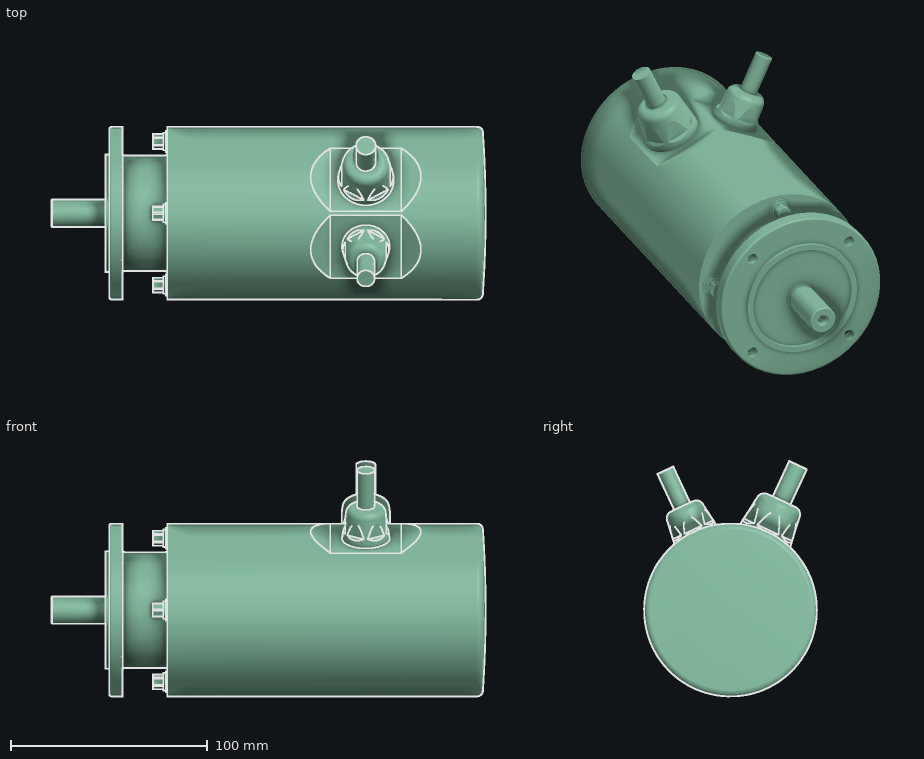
import cadquery as cq
import math


shaft_length = 29.5
pilot_height = 2.0
pilot_recess_depth = 2.0
flange_thickness = 6.8
flange_fillet = 1.2
body_front = 29.5
overall_length = 221.0
body_rear = overall_length - shaft_length
rear_dome_height = 1.6
rear_corner_radius = 3.0

shaft_diameter = 14.0
shaft_shoulder_diameter = 15.0
shaft_chamfer = 0.5
shoulder_height = 1.0
pilot_diameter = 60.0
pilot_recess_diameter = 54.0
neck_diameter = 59.0
neck_fillet = 1.0
body_diameter = 88.0

centre_drill_diameter = 3.43
centre_drill_depth = 12.0
centre_bore_diameter = 4.5
centre_bore_depth = 4.0
centre_mouth_diameter = 6.0

mounting_hole_diameter = 5.5
mounting_hole_circle = 75.0

screw_count = 4
screw_circle = 73.0
washer_diameter = 10.8
washer_thickness = 0.7
screw_collar_diameter = 9.0
screw_collar_top = 2.1
screw_head_top = 7.3
screw_head_diameter = 7.65
screw_head_flats_width = 7.0

gland_x = 130.5
gland_tilt = 25.0
seat_distance = 40.25
seat_length = 36.0
seat_ramp_angle = 20.5

big_gland = {
    "base_diameter": 28.6,
    "top_diameter": 22.9,
    "height": 21.2,
    "top_fillet": 4.2,
    "flats_width": 24.6,
    "flats_start": 4.8,
    "cable_diameter": 10.0,
    "cable_end": 81.3 - seat_distance,
}
small_gland = {
    "base_diameter": 24.3,
    "top_diameter": 19.2,
    "height": 18.0,
    "top_fillet": 4.0,
    "flats_width": 20.8,
    "flats_start": 4.8,
    "cable_diameter": 9.0,
    "cable_end": 78.45 - seat_distance,
}


def cylinder_x(diameter, x_start, x_end):
    """A cylinder on the motor axis between two X positions."""
    return (
        cq.Workplane("YZ")
        .workplane(offset=x_start)
        .circle(diameter / 2)
        .extrude(x_end - x_start)
    )


def hexagon_corner_diameter(flats_width):
    return flats_width / math.cos(math.pi / 6)


def tilt_onto_seat(shape, tilt):
    """Moves a shape from a seat at the origin, facing +Z, to a seat on the motor."""
    lifted = shape.translate((gland_x, 0, seat_distance))
    return lifted.rotate((0, 0, 0), (1, 0, 0), tilt)


def make_shaft():
    shaft = cylinder_x(shaft_diameter, -shaft_length, 0).faces("<X").chamfer(shaft_chamfer)
    shoulder = cylinder_x(shaft_shoulder_diameter, -shoulder_height, 0)
    return shaft.union(shoulder).cut(make_centre_hole())


def make_body():
    radius = body_diameter / 2
    rim_x = body_rear - rear_dome_height
    dome_mid = (rim_x + 0.75 * rear_dome_height, radius / 2)
    outline = (
        cq.Workplane("XY")
        .moveTo(body_front, 0)
        .lineTo(body_front, radius)
        .lineTo(rim_x, radius)
        .threePointArc(dome_mid, (body_rear, 0))
        .close()
    )
    body = outline.revolve(360, (0, 0, 0), (1, 0, 0))
    rim = cq.selectors.BoxSelector(
        (rim_x - 0.1, -body_diameter, -body_diameter), (rim_x + 0.1, body_diameter, body_diameter), True
    )
    return body.edges(rim).fillet(rear_corner_radius)


def make_screw():
    """A screw head on its washer, centred on the motor axis."""
    washer = cylinder_x(washer_diameter, body_front - washer_thickness, body_front)
    collar = cylinder_x(screw_collar_diameter, body_front - screw_collar_top, body_front)
    head = cylinder_x(screw_head_diameter, body_front - screw_head_top, body_front)
    hexagon = (
        cq.Workplane("YZ")
        .workplane(offset=body_front - screw_head_top)
        .polygon(6, hexagon_corner_diameter(screw_head_flats_width))
        .extrude(screw_head_top)
    )
    return washer.union(collar).union(head.intersect(hexagon))


def make_centre_hole():
    mouth_depth = (centre_mouth_diameter - centre_bore_diameter) / 2 / math.tan(math.radians(30))
    tip_depth = centre_drill_diameter / 2 / math.tan(math.radians(60))
    profile = [
        (0, 0),
        (0, centre_mouth_diameter / 2),
        (mouth_depth, centre_bore_diameter / 2),
        (centre_bore_depth, centre_bore_diameter / 2),
        (centre_bore_depth, centre_drill_diameter / 2),
        (centre_drill_depth, centre_drill_diameter / 2),
        (centre_drill_depth + tip_depth, 0),
    ]
    hole = cq.Workplane("XY").polyline(profile).close().revolve(360, (0, 0, 0), (1, 0, 0))
    return hole.translate((-shaft_length, 0, 0))


def make_seat_cutter():
    cut_height = body_diameter / 2
    ramp_run = cut_height / math.tan(math.radians(seat_ramp_angle))
    half_length = seat_length / 2
    profile = [
        (-half_length, 0),
        (half_length, 0),
        (half_length + ramp_run, cut_height),
        (-half_length - ramp_run, cut_height),
    ]
    return cq.Workplane("XZ").polyline(profile).close().extrude(body_diameter / 2, both=True)


def make_motor():
    flange = cylinder_x(body_diameter, 0, flange_thickness).faces("<X").edges().fillet(flange_fillet)
    neck = cylinder_x(neck_diameter, flange_thickness, body_front)
    motor = flange.union(neck).union(make_body())
    margin = 0.1
    neck_reach = neck_diameter / 2 + margin
    neck_region = cq.selectors.BoxSelector(
        (flange_thickness - margin, -neck_reach, -neck_reach),
        (body_front + margin, neck_reach, neck_reach),
        boundingbox=True,
    )
    motor = motor.edges("%CIRCLE").edges(neck_region).fillet(neck_fillet)
    motor = motor.union(cylinder_x(pilot_diameter, -pilot_height, 0))
    motor = motor.cut(
        cylinder_x(pilot_recess_diameter, -pilot_height, pilot_recess_depth - pilot_height)
    )

    mounting_holes = (
        cq.Workplane("YZ")
        .polarArray(mounting_hole_circle / 2, 45, 360, 4)
        .circle(mounting_hole_diameter / 2)
        .extrude(flange_thickness)
    )
    motor = motor.cut(mounting_holes)

    motor = motor.union(make_shaft())

    screw = make_screw().translate((0, screw_circle / 2, 0))
    for index in range(screw_count):
        motor = motor.union(screw.rotate((0, 0, 0), (1, 0, 0), index * 360 / screw_count))

    for tilt in (-gland_tilt, gland_tilt):
        motor = motor.cut(tilt_onto_seat(make_seat_cutter(), tilt))
    return motor


def make_gland(gland, tilt):
    profile = [
        (0, 0),
        (gland["base_diameter"] / 2, 0),
        (gland["top_diameter"] / 2, gland["height"]),
        (0, gland["height"]),
    ]
    nut = cq.Workplane("XZ").polyline(profile).close().revolve(360, (0, 0, 0), (0, 1, 0))
    nut = nut.faces(">Z").edges().fillet(gland["top_fillet"])

    flats_start = gland["flats_start"]
    flats_width = gland["flats_width"]
    ledges = (
        cq.Workplane("XY")
        .polygon(6, hexagon_corner_diameter(flats_width + 2 * flats_start))
        .extrude(flats_start, taper=45)
    )
    flats = (
        cq.Workplane("XY")
        .polygon(6, hexagon_corner_diameter(flats_width))
        .extrude(gland["height"])
    )
    nut = nut.intersect(ledges.union(flats).rotate((0, 0, 0), (0, 0, 1), 30))

    cable = cq.Workplane("XY").circle(gland["cable_diameter"] / 2).extrude(gland["cable_end"])
    return tilt_onto_seat(nut.union(cable), tilt)


motor = make_motor()
big_cable_gland = make_gland(big_gland, -gland_tilt)
small_cable_gland = make_gland(small_gland, gland_tilt)

result = cq.Compound.makeCompound(
    [motor.val(), big_cable_gland.val(), small_cable_gland.val()]
)